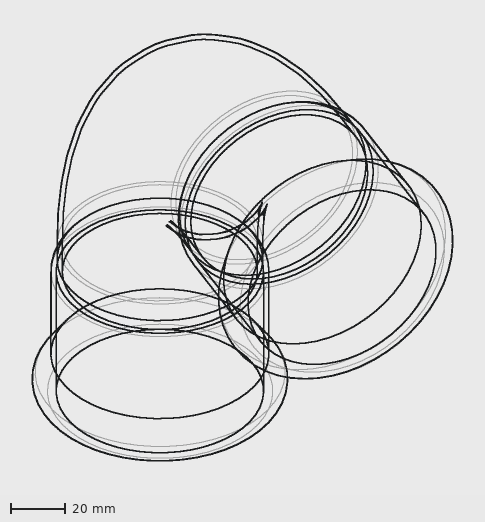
import cadquery as cq
import math

OVERALL = 206.8
BEAD_RADIUS = 94.5 / 2
PIPE_RADIUS = 76.0 / 2
PIPE_BORE_RADIUS = 72.2 / 2
SOCKET_RADIUS = 80.6 / 2
SOCKET_BORE_RADIUS = 76.7 / 2
BEND_RADIUS = 91.2

BEAD_ROUND_RADIUS = 5.5
CONE_END = 17.2
SOCKET_END = 55.0
STEP_LENGTH = 5.5
STEP_END = SOCKET_END + STEP_LENGTH

AXIS_HEIGHT = OVERALL - BEAD_RADIUS
MOUTH_X = OVERALL - BEAD_RADIUS
BEND_START = AXIS_HEIGHT - BEND_RADIUS


def socket_outside():
    """Solid upright leg: rounded bead, cone, socket, rounded step and pipe stub."""
    center_r = BEAD_RADIUS - BEAD_ROUND_RADIUS
    center_z = BEAD_ROUND_RADIUS

    dr = SOCKET_RADIUS - center_r
    dz = CONE_END - center_z
    tangent_angle = math.atan2(dz, dr) - math.acos(BEAD_ROUND_RADIUS / math.hypot(dr, dz))
    tangent_point = (
        center_r + BEAD_ROUND_RADIUS * math.cos(tangent_angle),
        center_z + BEAD_ROUND_RADIUS * math.sin(tangent_angle),
    )

    profile = (
        cq.Workplane("XZ")
        .lineTo(center_r, 0)
        .threePointArc((BEAD_RADIUS, center_z), tangent_point)
        .lineTo(SOCKET_RADIUS, CONE_END)
        .lineTo(SOCKET_RADIUS, SOCKET_END)
        .tangentArcPoint((PIPE_RADIUS, STEP_END), relative=False)
        .lineTo(PIPE_RADIUS, BEND_START)
        .lineTo(0, BEND_START)
        .close()
    )
    return profile.revolve(360, (0, 0, 0), (0, 1, 0))


def socket_bore():
    """Stepped bore of one leg; the inserted pipe stops at the shoulder."""
    socket = cq.Workplane("XY").circle(SOCKET_BORE_RADIUS).extrude(SOCKET_END)
    pipe = cq.Workplane("XY").circle(PIPE_BORE_RADIUS).extrude(BEND_START)
    return socket.union(pipe)


def bend(radius):
    """Quarter torus that turns from the vertical leg to the horizontal leg."""
    return (
        cq.Workplane("XY", origin=(0, 0, BEND_START))
        .circle(radius)
        .revolve(90, (BEND_RADIUS, 0, 0), (BEND_RADIUS, 1, 0))
    )


def to_horizontal(leg):
    """Turn an upright leg so that its mouth faces +X."""
    return leg.rotate((0, 0, 0), (0, 1, 0), -90).translate((MOUTH_X, 0, AXIS_HEIGHT))


leg = socket_outside().cut(socket_bore())
hollow_bend = bend(PIPE_RADIUS).cut(bend(PIPE_BORE_RADIUS))
result = leg.union(hollow_bend).union(to_horizontal(leg))